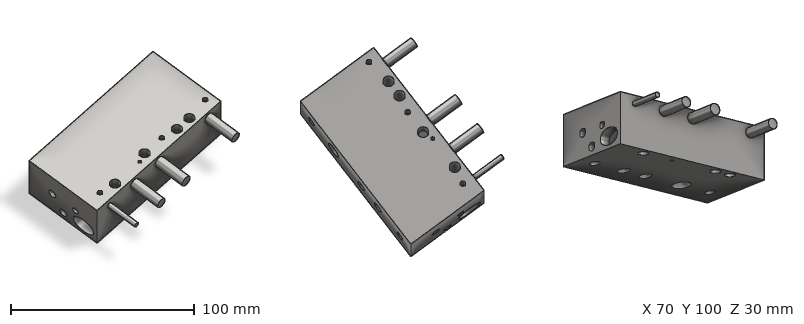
import cadquery as cq
import math

block_x = 50.0
block_y = 100.0
block_z = 30.0
mid_z = block_z / 2

pin_length = 20.0
pin_z = 25.0
pins = [(10.0, 3.0), (30.0, 6.0), (50.0, 6.5), (90.0, 6.0)]

through_row_x = 45.0
through_holes = [(20.0, 6.0), (40.0, 2.0), (70.0, 6.0), (80.0, 6.0)]
blind_row_x = 43.0
blind_depth = 10.0
blind_holes = [(10.0, 3.0), (46.0, 6.0), (60.0, 3.0), (95.0, 3.0)]

long_holes = [(17.0, mid_z, 5.0), (25.0, 5.0, 5.0), (34.0, mid_z, 4.0)]

pocket_x = 40.0
pocket_z = 7.0
pocket_half_width = 7.5
pocket_half_height = 5.0
pocket_depth = 6.0

slant_angle = 45.0
slant_holes = [(10.0, 5.0), (30.0, 6.0), (45.0, 6.0), (70.0, 9.0), (90.0, 5.0)]
slant_overrun = 10.0


def cylinder(diameter, length, start, direction):
    return cq.Workplane(cq.Solid.makeCylinder(diameter / 2, length, cq.Vector(*start), cq.Vector(*direction)))


def add_pins(body):
    for y, diameter in pins:
        body = body.union(cylinder(diameter, pin_length, (block_x, y, pin_z), (1, 0, 0)))
    return body


def cut_vertical_holes(body, row_x, holes, depth):
    for y, diameter in holes:
        body = body.cut(cylinder(diameter, depth, (row_x, y, block_z), (0, 0, -1)))
    return body


def cut_long_holes(body):
    for x, z, diameter in long_holes:
        body = body.cut(cylinder(diameter, block_y, (x, 0, z), (0, 1, 0)))
    return body


def cut_elliptical_pocket(body):
    pocket = (
        cq.Workplane("XZ")
        .center(pocket_x, pocket_z)
        .ellipse(pocket_half_width, pocket_half_height)
        .extrude(-pocket_depth)
    )
    return body.cut(pocket)


def cut_slant_holes(body):
    run = math.cos(math.radians(slant_angle))
    drop = math.sin(math.radians(slant_angle))
    length = mid_z / drop + 2 * slant_overrun
    start_x = -slant_overrun * run
    start_z = mid_z + slant_overrun * drop
    for y, diameter in slant_holes:
        body = body.cut(cylinder(diameter, length, (start_x, y, start_z), (run, 0, -drop)))
    return body


block = cq.Workplane("XY").box(block_x, block_y, block_z, centered=False)
block = cut_vertical_holes(block, through_row_x, through_holes, block_z)
block = cut_vertical_holes(block, blind_row_x, blind_holes, blind_depth)
block = cut_long_holes(block)
block = cut_elliptical_pocket(block)
block = cut_slant_holes(block)
result = add_pins(block)